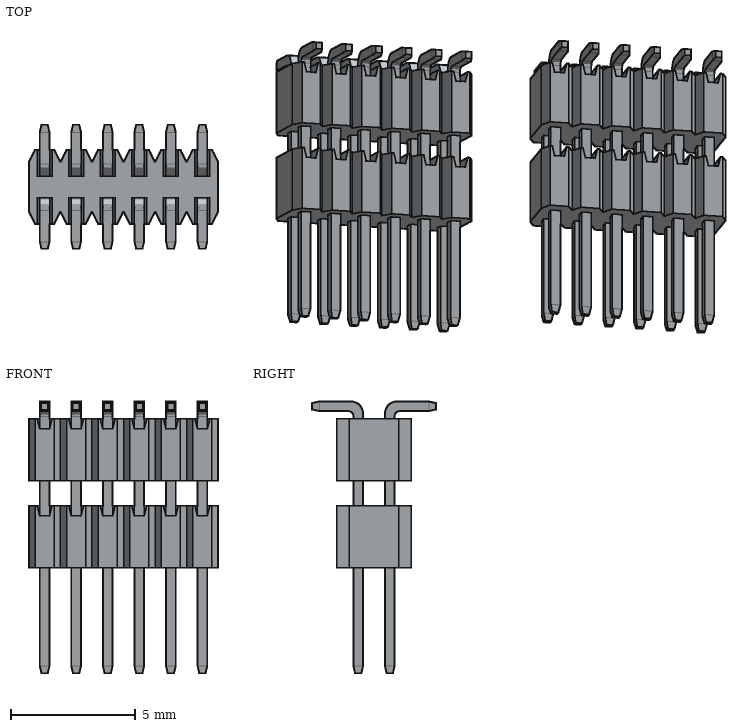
import cadquery as cq


pitch = 1.27
columns = 6
row_offset = pitch / 2

body_length = columns * pitch
body_width = 3.0
body_height = 2.5
body_gap = 1.0
rib_face_width = 0.77
notch_depth = 0.5

pin_size = 0.4
pin_tip_size = 0.26
pin_tip_length = 0.3
foot_span = 5.0
foot_height = 0.7
tail_length = 4.25
bend_inner_radius = 0.2
bend_outer_radius = 0.5

groove_depth = 0.4
groove_top_width = 0.6
groove_floor_width = pin_size

upper_body_bottom = body_height + body_gap
pin_top = upper_body_bottom + body_height + foot_height
pin_inner_face = row_offset - pin_size / 2
pin_outer_face = row_offset + pin_size / 2
column_positions = [(i - (columns - 1) / 2) * pitch for i in range(columns)]


def insulator_outline():
    """Points of the insulator seen from above, with V notches between columns."""
    face = body_width / 2
    root = face - notch_depth
    half_rib = rib_face_width / 2
    near_side = [(-body_length / 2, -root)]
    for x in column_positions:
        near_side.append((x - half_rib, -face))
        near_side.append((x + half_rib, -face))
        near_side.append((x + pitch / 2, -root))
    far_side = [(-x, -y) for x, y in near_side]
    return near_side + far_side


def groove_cutter(x, side, body_top):
    """Tapered groove from the pin's inner face out through the insulator side."""
    half_top = groove_top_width / 2
    half_floor = groove_floor_width / 2
    floor = body_top - groove_depth
    length = body_width / 2 - pin_inner_face
    section = [
        (x - half_top, body_top),
        (x - half_floor, floor),
        (x + half_floor, floor),
        (x + half_top, body_top),
    ]
    plane = cq.Workplane("XZ", origin=(0, side * pin_inner_face, 0))
    return plane.polyline(section).close().extrude(-side * length)


def insulator(bottom):
    """Notched block with a clearance groove beside every pin."""
    base = cq.Workplane("XY", origin=(0, 0, bottom))
    body = base.polyline(insulator_outline()).close().extrude(body_height)
    for x in column_positions:
        for side in (-1, 1):
            body = body.cut(groove_cutter(x, side, bottom + body_height))
    return body


def tapered_tip(center, direction):
    """Square frustum narrowing from the pin section along the given direction."""
    base = cq.Workplane(cq.Plane(origin=center, xDir=(1, 0, 0), normal=direction))
    return (
        base.rect(pin_size, pin_size)
        .workplane(offset=pin_tip_length)
        .rect(pin_tip_size, pin_tip_size)
        .loft(combine=True, ruled=True)
    )


def pin(x, side):
    """Square pin with a straight tail and a foot bent outwards to the given side."""
    tail_end = -tail_length + pin_tip_length
    foot_end = foot_span / 2 - pin_tip_length
    foot_bottom = pin_top - pin_size
    profile = (
        cq.Workplane("YZ", origin=(x - pin_size / 2, 0, 0))
        .moveTo(side * pin_inner_face, tail_end)
        .lineTo(side * pin_inner_face, pin_top)
        .lineTo(side * foot_end, pin_top)
        .lineTo(side * foot_end, foot_bottom)
        .lineTo(side * pin_outer_face, foot_bottom)
        .lineTo(side * pin_outer_face, tail_end)
        .close()
    )
    shaft = profile.extrude(pin_size)
    outer_corner = cq.selectors.NearestToPointSelector((x, side * pin_inner_face, pin_top))
    inner_corner = cq.selectors.NearestToPointSelector((x, side * pin_outer_face, foot_bottom))
    shaft = shaft.edges("|X").edges(outer_corner).fillet(bend_outer_radius)
    shaft = shaft.edges("|X").edges(inner_corner).fillet(bend_inner_radius)
    tail_tip = tapered_tip((x, side * row_offset, tail_end), (0, 0, -1))
    foot_tip = tapered_tip((x, side * foot_end, pin_top - pin_size / 2), (0, side, 0))
    return shaft.union(tail_tip).union(foot_tip)


result = insulator(0).union(insulator(upper_body_bottom))
for column_x in column_positions:
    for row_side in (-1, 1):
        result = result.union(pin(column_x, row_side))